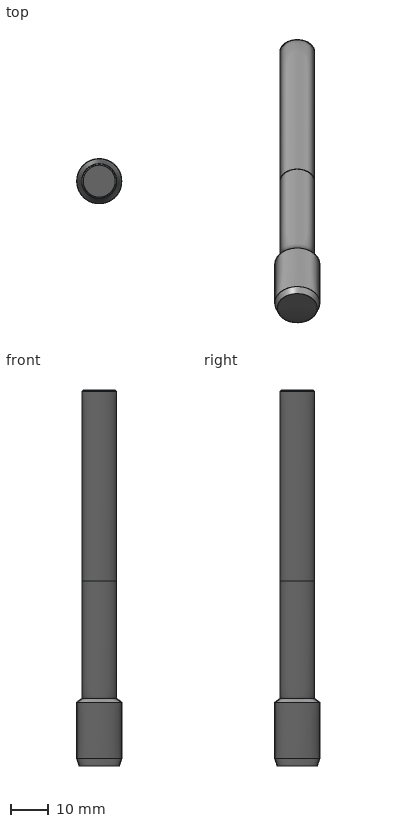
import cadquery as cq

TOTAL_LENGTH = 100.0
JOINT_HEIGHT = 49.2

SHANK_DIAMETER = 9.3
SHANK_RADIUS = SHANK_DIAMETER / 2
SHANK_CHAMFER = 0.4

HEAD_RADIUS = 6.0
NECK_DIAMETER = 9.2
NECK_RADIUS = NECK_DIAMETER / 2
HEAD_TOP_HEIGHT = 18.0
SHOULDER_DROP = 1.0
TIP_BEVEL_HEIGHT = 2.0
TIP_BEVEL_WIDTH = 0.7


def make_shank():
    """Plain round shank, chamfered at its free end."""
    return (
        cq.Workplane("XY", origin=(0, 0, JOINT_HEIGHT))
        .circle(SHANK_RADIUS)
        .extrude(TOTAL_LENGTH - JOINT_HEIGHT)
        .faces(">Z")
        .chamfer(SHANK_CHAMFER)
    )


def make_cutter():
    """Turned head with a beveled tip and sloped shoulder, and its neck."""
    half_profile = [
        (0, 0),
        (HEAD_RADIUS - TIP_BEVEL_WIDTH, 0),
        (HEAD_RADIUS, TIP_BEVEL_HEIGHT),
        (HEAD_RADIUS, HEAD_TOP_HEIGHT - SHOULDER_DROP),
        (NECK_RADIUS, HEAD_TOP_HEIGHT),
        (NECK_RADIUS, JOINT_HEIGHT),
        (0, JOINT_HEIGHT),
    ]
    return cq.Workplane("XZ").polyline(half_profile).close().revolve(360, (0, 0), (0, 1))


shank = make_shank()
cutter = make_cutter()

result = cq.Compound.makeCompound([shank.val(), cutter.val()])